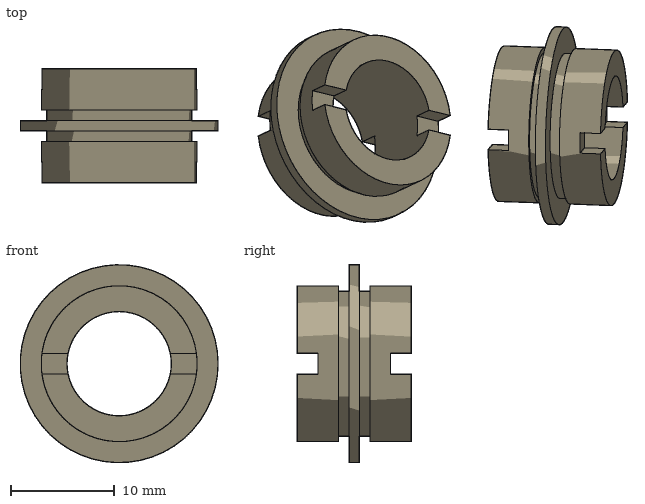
import cadquery as cq

length = 11.0
flange_diameter = 19.05
flange_thickness = 1.0
body_diameter = 15.0
groove_diameter = 13.98
groove_width = 1.01
bore_diameter = 10.0
slot_width = 2.0
slot_depth = 2.0


def disc(diameter, thickness):
    """Cylinder along Y, centred on the origin."""
    start = cq.Workplane("XZ", origin=(0, thickness / 2, 0))
    return start.circle(diameter / 2).extrude(thickness)


def end_slot(side):
    """Slot cutter across one end face; side is -1 or +1 along Y."""
    center_y = side * (length - slot_depth) / 2
    return cq.Workplane("XY").box(flange_diameter, slot_depth, slot_width).translate((0, center_y, 0))


grooved_length = flange_thickness + 2 * groove_width
body = disc(body_diameter, length).cut(disc(body_diameter, grooved_length))
core = disc(groove_diameter, length)
flange = disc(flange_diameter, flange_thickness)
bushing = core.union(body).union(flange)

bushing = bushing.cut(disc(bore_diameter, length))

for side in (-1, 1):
    bushing = bushing.cut(end_slot(side))

result = bushing